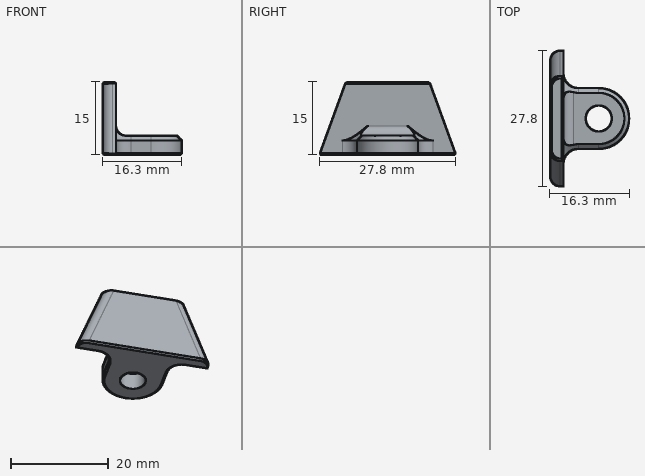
import cadquery as cq
import math

length_x = 16.25
width_y = 27.83
height_z = 15.0
plate_thickness = 2.78
side_angle = math.radians(20)
side_round = 2.0
edge_chamfer = 0.4
tab_radius = 6.25
tab_height = 4.0
tab_chamfer = 1.0
hole_diameter = 5.3
root_radius = 2.0
neck_radius = 3.0

bevel_rise = edge_chamfer * math.cos(side_angle)
bottom_half_width = width_y / 2 + bevel_rise * math.tan(side_angle)
top_half_width = bottom_half_width - height_z * math.tan(side_angle)
hole_x = length_x - tab_radius
neck_end_x = plate_thickness + neck_radius
neck_half_width = tab_radius + neck_radius
neck_height = tab_height + root_radius


def make_plate():
    """Upright trapezoidal plate with rounded back edges and a bevelled top."""
    plate = (
        cq.Workplane("YZ")
        .polyline([
            (-bottom_half_width, 0),
            (bottom_half_width, 0),
            (top_half_width, height_z),
            (-top_half_width, height_z),
        ])
        .close()
        .extrude(plate_thickness)
    )
    plate = plate.faces("<X").edges("not |Y").fillet(side_round)
    return plate.faces(">Z").edges().chamfer(edge_chamfer)


def make_tab():
    """Round-ended tab with a bevelled top edge."""
    tab = (
        cq.Workplane("XY")
        .moveTo(neck_end_x, -tab_radius)
        .lineTo(hole_x, -tab_radius)
        .threePointArc((length_x, 0), (hole_x, tab_radius))
        .lineTo(neck_end_x, tab_radius)
        .close()
        .extrude(tab_height)
    )
    return tab.faces(">Z").edges("not <X").chamfer(tab_chamfer)


def make_neck_cutter(side):
    """Cylinder flaring at 45 degrees, which hollows one side of the neck."""
    flare_start = tab_height - tab_chamfer
    flare_radius = neck_radius + neck_height - flare_start
    return (
        cq.Workplane("XZ")
        .polyline([
            (0, 0),
            (neck_radius, 0),
            (neck_radius, flare_start),
            (flare_radius, neck_height),
            (0, neck_height),
        ])
        .close()
        .revolve(360, (0, 0), (0, 1))
        .translate((neck_end_x, side * neck_half_width, 0))
    )


def make_neck():
    """Flared joint between tab and plate, with a root fillet on top."""
    diagonal = root_radius * (1 - math.sqrt(0.5))
    neck = (
        cq.Workplane("XZ")
        .moveTo(plate_thickness, 0)
        .lineTo(neck_end_x, 0)
        .lineTo(neck_end_x, tab_height)
        .lineTo(plate_thickness + root_radius, tab_height)
        .threePointArc(
            (plate_thickness + diagonal, tab_height + diagonal),
            (plate_thickness, neck_height),
        )
        .close()
        .extrude(neck_half_width, both=True)
    )
    for side in (-1, 1):
        neck = neck.cut(make_neck_cutter(side))
    return neck


body = make_plate().union(make_neck()).union(make_tab()).clean()
body = body.faces("<Z").edges().chamfer(edge_chamfer)

hole = cq.Workplane("XY").center(hole_x, 0).circle(hole_diameter / 2).extrude(tab_height)
result = body.cut(hole)